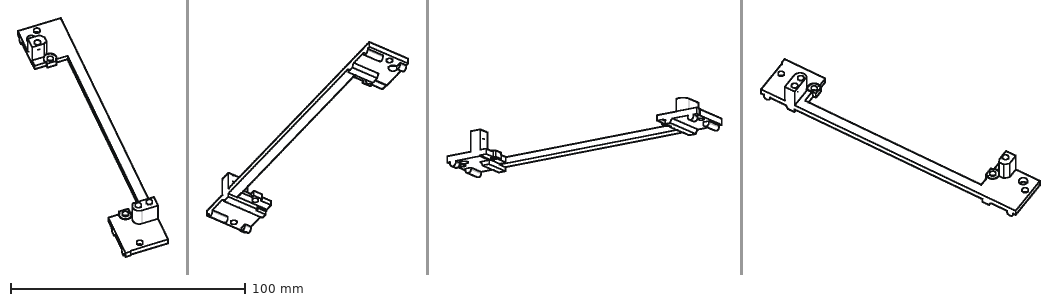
import cadquery as cq
import math

total_length = 128.5
total_depth = 19.7
total_height = 14.1
ear_length = 0.4
ear_depth = 2.5
body_length = total_length - ear_length
plate_length = 20.2
plate_bottom = 2.2
plate_top = 5.0
beam_depth = 4.6
beam_front = total_depth - beam_depth
inner_edge_slope = 0.9

lug_x = 19.1
lug_y = 7.5
lug_radius = 2.8
lug_depth = 4.2
lug_reach = 1.2
lug_raise = 0.4
lug_top = plate_top + lug_raise

small_diameter = 2.7
outer_hole_x = 2.7
outer_hole_y = 7.7
large_diameter = 3.7
large_hole_x = 6.0
large_hole_y = 3.9
post_hole_depth = 3.5

post_width = 5.0
left_post_x = 12.1
left_post_depth = 7.0
left_post_chamfer = 1.8
left_post_hole_x = 15.4
left_post_hole_y = 3.1
right_post_x = 111.2
right_post_front = 9.1
right_post_end_radius = 3.0
right_post_hole_x = 113.0
right_post_hole_ys = (11.8, 16.8)

outer_rib_x = 1.4
outer_rib_width = 3.0
outer_rib_front_end = 3.1
outer_rib_rear_start = 11.8
inner_rib_x = 13.4
inner_rib_end = 16.8
inner_rib_bottom = 0.4
inner_rib_flare = 1.2
inner_rib_arc_diameter = 4.5
left_inner_rib_front = 7.1
right_rib_notch_width = 0.9
right_rib_notch_depth = 4.8
recess_height = 0.4


def box(x0, x1, y0, y1, z0, z1):
    return cq.Workplane("XY").box(x1 - x0, y1 - y0, z1 - z0, centered=False).translate((x0, y0, z0))


def cylinder(x, y, diameter, z0, z1):
    return cq.Workplane("XY", origin=(x, y, z0)).circle(diameter / 2).extrude(z1 - z0)


def mirrored(shape):
    """Reflect a left-end feature to the right end."""
    return shape.mirror("YZ", (body_length / 2, 0, 0))


def along_depth(y0, y1, start):
    """Return the start of an XZ profile and the extrusion distance from y0 to y1."""
    return cq.Workplane("XZ", origin=(0, y0, 0)).moveTo(*start), -(y1 - y0)


def end_plate():
    plate = box(0, plate_length, 0, total_depth, plate_bottom, plate_top)
    recess = box(inner_rib_end, plate_length, 0, beam_front, plate_bottom, plate_bottom + recess_height)
    return plate.cut(recess)


def lug():
    """Square tab past the plate edge, joined to a round pad on the plate."""
    bottom = plate_bottom + recess_height
    tab = box(lug_x, plate_length + lug_reach, lug_y - lug_depth / 2, lug_y + lug_depth / 2, bottom, lug_top)
    pad = cylinder(lug_x, lug_y, 2 * lug_radius, bottom, lug_top)
    plate_side = box(0, plate_length, 0, total_depth, bottom, lug_top)
    return tab.union(pad.intersect(plate_side))


def outer_rib(y0, y1):
    """Rib with a half-round lower edge."""
    radius = outer_rib_width / 2
    sketch, distance = along_depth(y0, y1, (outer_rib_x, plate_bottom))
    return (
        sketch.lineTo(outer_rib_x, radius)
        .threePointArc((outer_rib_x + radius, 0), (outer_rib_x + outer_rib_width, radius))
        .lineTo(outer_rib_x + outer_rib_width, plate_bottom)
        .close()
        .extrude(distance)
    )


def inner_rib(y0):
    """Rib with a concave arc on its outer side."""
    sketch, distance = along_depth(y0, total_depth, (inner_rib_x - inner_rib_flare, plate_bottom))
    return (
        sketch.radiusArc((inner_rib_x, inner_rib_bottom), inner_rib_arc_diameter / 2)
        .lineTo(inner_rib_end, inner_rib_bottom)
        .lineTo(inner_rib_end, plate_bottom)
        .close()
        .extrude(distance)
    )


def left_post():
    post = box(left_post_x, left_post_x + post_width, 0, left_post_depth, plate_top, total_height)
    post = post.edges("|Z and <X and >Y").chamfer(left_post_chamfer)
    return post.cut(cylinder(lug_x, lug_y, 2 * lug_radius, lug_top, total_height))


def right_lug():
    """Mirrored lug whose pad is trimmed flush with the rear side of its tab."""
    trim = box(0, body_length, lug_y + lug_depth / 2, total_depth, 0, total_height)
    return mirrored(lug()).cut(trim)


def right_post():
    """Post whose arc end is tangent to the outer side and meets the inner side at a corner."""
    right = right_post_x + post_width
    center_y = right_post_front + right_post_end_radius
    center_x = right - right_post_end_radius
    inner_offset = center_x - right_post_x
    corner_y = center_y - math.sqrt(right_post_end_radius**2 - inner_offset**2)
    return (
        cq.Workplane("XY", origin=(0, 0, plate_top))
        .moveTo(right_post_x, total_depth)
        .lineTo(right, total_depth)
        .lineTo(right, center_y)
        .threePointArc((center_x, right_post_front), (right_post_x, corner_y))
        .close()
        .extrude(total_height - plate_top)
    )


def inner_edge_cut():
    """Wedge that slopes the right plate's inner edge between lug and beam."""
    edge = body_length - plate_length
    sketch, distance = along_depth(lug_y + lug_depth / 2, beam_front, (edge, plate_bottom))
    return (
        sketch.lineTo(edge, plate_top).lineTo(edge + inner_edge_slope, plate_top).close().extrude(distance)
    )


body = box(0, body_length, beam_front, total_depth, plate_bottom, plate_top)
body = body.union(end_plate()).union(mirrored(end_plate()).cut(inner_edge_cut()))
body = body.union(box(body_length, total_length, 0, ear_depth, plate_bottom, plate_top))
body = body.union(lug()).union(right_lug())

for rib in (
    outer_rib(0, outer_rib_front_end),
    outer_rib(outer_rib_rear_start, total_depth),
):
    body = body.union(rib).union(mirrored(rib))

rib_notch = box(
    inner_rib_end - right_rib_notch_width, inner_rib_end, 0, right_rib_notch_depth, 0, plate_bottom
)
body = body.union(inner_rib(left_inner_rib_front)).union(mirrored(inner_rib(0).cut(rib_notch)))

body = body.union(left_post()).union(right_post())

for x, y in ((lug_x, lug_y), (outer_hole_x, outer_hole_y)):
    hole = cylinder(x, y, small_diameter, 0, total_height)
    body = body.cut(hole).cut(mirrored(hole))
body = body.cut(cylinder(large_hole_x, large_hole_y, large_diameter, 0, total_height))

post_holes = [(left_post_hole_x, left_post_hole_y)] + [(right_post_hole_x, y) for y in right_post_hole_ys]
for x, y in post_holes:
    body = body.cut(cylinder(x, y, small_diameter, total_height - post_hole_depth, total_height))

result = body